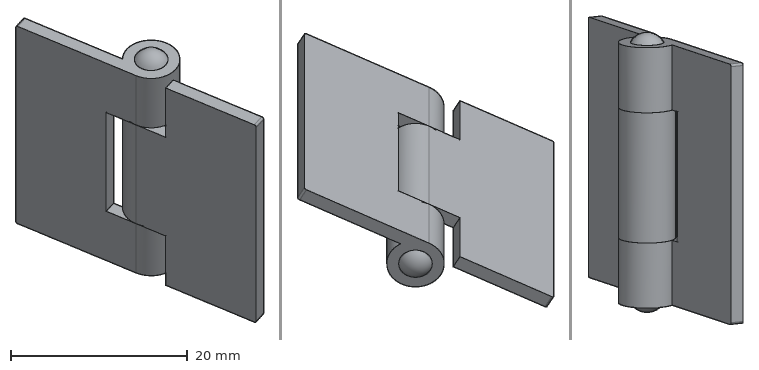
import cadquery as cq
import math

total_height = 32.2
total_width = 32.0
dome_height = 1.1
leaf_height = total_height - 2 * dome_height

leaf_reach = total_width / 2
leaf_thickness = 1.6
corner_radius = 0.25
barrel_radius = 3.25
knuckle_clearance = 0.7
notch_reach = barrel_radius + knuckle_clearance
middle_knuckle_height = leaf_height / 2
end_knuckle_height = (leaf_height - middle_knuckle_height) / 2
end_knuckle_offset = (middle_knuckle_height + end_knuckle_height) / 2

pin_radius = 1.9


def make_plate():
    """Flat leaf running in -X from the pin axis to its rounded outer corners."""
    return (
        cq.Workplane("XY")
        .box(leaf_reach, leaf_thickness, leaf_height, centered=(False, False, True))
        .translate((-leaf_reach, -barrel_radius, 0))
        .edges("<X and |Y")
        .fillet(corner_radius)
    )


def make_notch(height, z_center):
    """Clearance block around a knuckle of the opposite leaf."""
    return (
        cq.Workplane("XY")
        .box(2 * notch_reach, 2 * barrel_radius, height)
        .translate((0, 0, z_center))
    )


def make_knuckle(height, z_center):
    """Solid barrel section around the pin axis."""
    return cq.Workplane("XY").circle(barrel_radius).extrude(height / 2, both=True).translate((0, 0, z_center))


def make_leaf(knuckles, notches):
    """Leaf in -X; knuckles and notches are lists of (height, z_center)."""
    leaf = make_plate()
    for height, z_center in notches:
        leaf = leaf.cut(make_notch(height, z_center))
    for height, z_center in knuckles:
        leaf = leaf.union(make_knuckle(height, z_center))
    pin_hole = cq.Workplane("XY").circle(pin_radius).extrude(leaf_height / 2, both=True)
    return leaf.cut(pin_hole)


def make_pin():
    """Revolved pin with a shallow spherical dome beyond each end of the barrel."""
    dome_radius = (pin_radius**2 + dome_height**2) / (2 * dome_height)
    arc_mid_x = pin_radius / 2
    sphere_center_z = total_height / 2 - dome_radius
    arc_mid_z = sphere_center_z + math.sqrt(dome_radius**2 - arc_mid_x**2)
    return (
        cq.Workplane("XZ")
        .moveTo(0, -total_height / 2)
        .threePointArc((arc_mid_x, -arc_mid_z), (pin_radius, -leaf_height / 2))
        .lineTo(pin_radius, leaf_height / 2)
        .threePointArc((arc_mid_x, arc_mid_z), (0, total_height / 2))
        .close()
        .revolve(360, (0, 0, 0), (0, 1, 0))
    )


middle_section = [(middle_knuckle_height, 0)]
end_sections = [(end_knuckle_height, side * end_knuckle_offset) for side in (-1, 1)]

left_leaf = make_leaf(knuckles=end_sections, notches=middle_section)
right_leaf = make_leaf(knuckles=middle_section, notches=end_sections).mirror("YZ")
pin = make_pin()

result = cq.Compound.makeCompound([left_leaf.solids().val(), right_leaf.solids().val(), pin.val()])